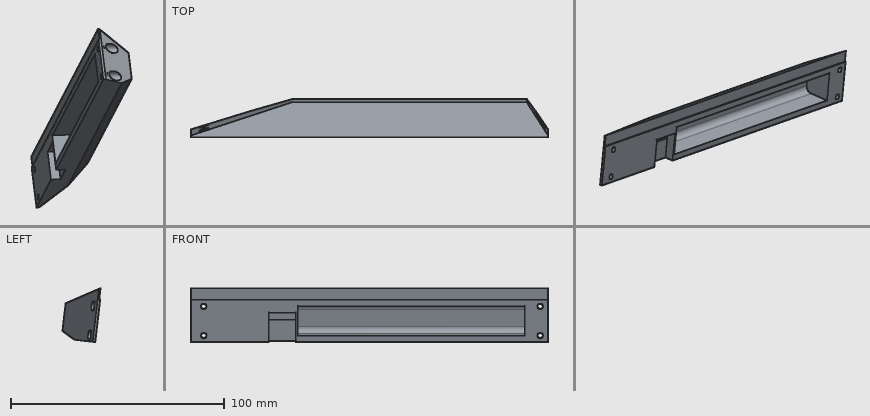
import cadquery as cq
import math

LENGTH = 167.4
HEIGHT = 25.38
DEPTH = 17.98

TILT = 6.65
MOUNT_FACE_RISE = 20.0
LIP_RECESS = 0.45
BOTTOM_DEPTH = 9.9
BACK_BOTTOM_RISE = 3.5
BACK_TOP_ANGLE = 30.0

END_THICKNESS = 1.25
LEFT_TAPER_LENGTH = 47.5
RIGHT_TAPER_LENGTH = 10.0
PLAN_MARGIN = 1.0

CAVITY_LEFT = 50.0
CAVITY_LENGTH = 106.5
CAVITY_BOTTOM = 3.0
CAVITY_TOP = 17.0
CAVITY_DEPTH = 13.3
CAVITY_CORNER_RADIUS = 3.0

NOTCH_LEFT = 36.6
NOTCH_WIDTH = 12.6
NOTCH_HEIGHT = 14.0
NOTCH_DEPTH = 4.5
RECESS_BOTTOM = 10.0
RECESS_DEPTH = 5.5

SCREW_DIAMETER = 2.5
HEAD_DIAMETER = 4.5
SCREW_SEAT = 2.5
SCREW_POSITIONS_X = (6.0, LENGTH - 3.7)
SCREW_RISES = (3.0, 16.8)

tilt = math.radians(TILT)
lip_rise = (HEIGHT - LIP_RECESS * math.sin(tilt)) / math.cos(tilt)
mount_bottom_y = lip_rise * math.sin(tilt) - LIP_RECESS * math.cos(tilt)
body_depth = (DEPTH - mount_bottom_y + BACK_BOTTOM_RISE * math.sin(tilt)) / math.cos(tilt)
back_top_rise = lip_rise - (body_depth - LIP_RECESS) * math.tan(math.radians(BACK_TOP_ANGLE))


def lean(depth, rise):
    """World (y, z) of a point given in the leaning frame."""
    y = mount_bottom_y + depth * math.cos(tilt) - rise * math.sin(tilt)
    z = depth * math.sin(tilt) + rise * math.cos(tilt)
    return (y, z)


def prism(points, start_x, length):
    """Extrude a (y, z) outline along X."""
    return cq.Workplane("YZ").workplane(offset=start_x).polyline(points).close().extrude(length)


def body():
    outline = [
        lean(0, 0),
        lean(BOTTOM_DEPTH, 0),
        lean(body_depth, BACK_BOTTOM_RISE),
        lean(body_depth, back_top_rise),
        lean(LIP_RECESS, lip_rise),
        lean(LIP_RECESS, MOUNT_FACE_RISE),
        lean(0, MOUNT_FACE_RISE),
    ]
    plan = [
        (0, -PLAN_MARGIN),
        (LENGTH, -PLAN_MARGIN),
        (LENGTH, END_THICKNESS),
        (LENGTH - RIGHT_TAPER_LENGTH, body_depth),
        (LEFT_TAPER_LENGTH, body_depth),
        (0, END_THICKNESS),
    ]
    base_y, base_z = lean(0, 0)
    plan_plane = cq.Plane(
        origin=(0, base_y, base_z),
        xDir=(1, 0, 0),
        normal=(0, -math.sin(tilt), math.cos(tilt)),
    )
    envelope = cq.Workplane(plan_plane).polyline(plan).close().extrude(HEIGHT + PLAN_MARGIN)
    return prism(outline, 0, LENGTH).intersect(envelope)


def pocket(left, width, bottom, top, depth):
    """Box sunk into the mounting face, square to it."""
    outline = [lean(0, bottom), lean(depth, bottom), lean(depth, top), lean(0, top)]
    return prism(outline, left, width)


def cavity():
    box = pocket(CAVITY_LEFT, CAVITY_LENGTH, CAVITY_BOTTOM, CAVITY_TOP, CAVITY_DEPTH)
    return box.faces(">Y").edges("|X").fillet(CAVITY_CORNER_RADIUS)


def notch():
    opening = pocket(NOTCH_LEFT, NOTCH_WIDTH, 0, NOTCH_HEIGHT, NOTCH_DEPTH)
    recess = pocket(NOTCH_LEFT, NOTCH_WIDTH, RECESS_BOTTOM, NOTCH_HEIGHT, RECESS_DEPTH)
    return opening.union(recess)


def screw_hole(x, rise):
    y, z = lean(0, rise)
    plane = cq.Plane(origin=(x, y, z), xDir=(1, 0, 0), normal=(0, math.cos(tilt), math.sin(tilt)))
    shank = cq.Workplane(plane).circle(SCREW_DIAMETER / 2).extrude(DEPTH)
    head = cq.Workplane(plane).workplane(offset=SCREW_SEAT).circle(HEAD_DIAMETER / 2).extrude(DEPTH)
    return shank.union(head)


result = body().cut(cavity()).cut(notch())
for screw_x in SCREW_POSITIONS_X:
    for screw_rise in SCREW_RISES:
        result = result.cut(screw_hole(screw_x, screw_rise))